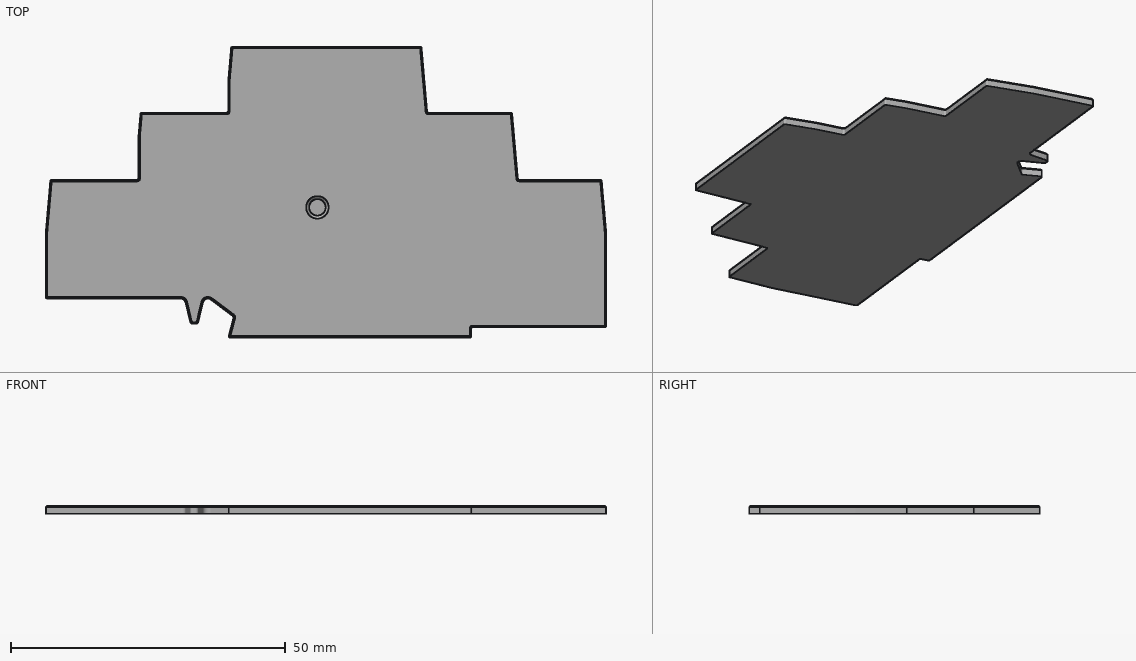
import cadquery as cq
import math

LENGTH = 101.94
WIDTH = 52.9
THICKNESS = 1.5
EDGE_CHAMFER = 0.3
CORNER_RADIUS = 0.3

BOTTOM_RIGHT_Y = 1.9
BOTTOM_LEFT_Y = 7.1
LOWER_STEP_Y = 28.7
UPPER_STEP_Y = 40.9

FLANK_SLOPE = math.tan(math.radians(5))
LOWER_BEND_Y = 19.4
MIDDLE_BEND_Y = 36.7
UPPER_BEND_Y = 46.5
MIDDLE_LEFT = 16.85
MIDDLE_RIGHT = 85.9
UPPER_LEFT = 33.15
UPPER_RIGHT = 69.4

FOOT_LEFT = 33.2
FOOT_RIGHT = 77.4
FOOT_NOTCH_X = 34.2
FOOT_NOTCH_Y = 3.8

PRONG_X = 27.0
PRONG_TIP_Y = 2.5
PRONG_TIP_HALF_WIDTH = 0.65
PRONG_ROOT_HALF_WIDTH = 1.75
RELIEF_RIGHT_X = 29.8
PRONG_ROOT_RADIUS = 0.9
PRONG_TIP_RADIUS = 0.5

RECESS_X = 49.4
RECESS_Y = 23.7
RECESS_TOP_DIAMETER = 4.1
RECESS_FLOOR_DIAMETER = 3.0
RECESS_DEPTH = 0.5


def lean(bottom_y, top_y):
    """Inward shift of a flank that leans from bottom_y up to top_y."""
    return (top_y - bottom_y) * FLANK_SLOPE


def left_flank(x, bottom_y, bend_y, top_y):
    """Left flank: vertical up to the bend, then leaning right."""
    return [(x, bottom_y), (x, bend_y), (x + lean(bend_y, top_y), top_y)]


LEFT_FLANKS = (
    left_flank(0, BOTTOM_LEFT_Y, LOWER_BEND_Y, LOWER_STEP_Y)
    + left_flank(MIDDLE_LEFT, LOWER_STEP_Y, MIDDLE_BEND_Y, UPPER_STEP_Y)
    + left_flank(UPPER_LEFT, UPPER_STEP_Y, UPPER_BEND_Y, WIDTH)
)
RIGHT_FLANKS = [
    (UPPER_RIGHT - lean(UPPER_STEP_Y, WIDTH), WIDTH),
    (UPPER_RIGHT, UPPER_STEP_Y),
    (MIDDLE_RIGHT - lean(LOWER_STEP_Y, UPPER_STEP_Y), UPPER_STEP_Y),
    (MIDDLE_RIGHT, LOWER_STEP_Y),
    (LENGTH - lean(LOWER_BEND_Y, LOWER_STEP_Y), LOWER_STEP_Y),
    (LENGTH, LOWER_BEND_Y),
    (LENGTH, BOTTOM_RIGHT_Y),
]
FOOT = [
    (FOOT_RIGHT, BOTTOM_RIGHT_Y),
    (FOOT_RIGHT, 0),
    (FOOT_LEFT, 0),
    (FOOT_NOTCH_X, FOOT_NOTCH_Y),
]
PRONG_ROOTS = [
    (RELIEF_RIGHT_X, BOTTOM_LEFT_Y),
    (PRONG_X + PRONG_ROOT_HALF_WIDTH, BOTTOM_LEFT_Y),
    (PRONG_X - PRONG_ROOT_HALF_WIDTH, BOTTOM_LEFT_Y),
]
PRONG_TIP = [
    (PRONG_X + PRONG_TIP_HALF_WIDTH, PRONG_TIP_Y),
    (PRONG_X - PRONG_TIP_HALF_WIDTH, PRONG_TIP_Y),
]
OUTLINE = LEFT_FLANKS + RIGHT_FLANKS + FOOT + PRONG_ROOTS[:2] + PRONG_TIP + PRONG_ROOTS[2:]

BENDS_Y = (LOWER_BEND_Y, MIDDLE_BEND_Y, UPPER_BEND_Y)
ROUNDED_CORNERS = [(x, y) for x, y in LEFT_FLANKS + RIGHT_FLANKS + FOOT if y not in BENDS_Y]


def round_corners(plate, corners, radius):
    """Round the upright edges of the plate that stand at the given corners."""
    for x, y in corners:
        corner = cq.NearestToPointSelector((x, y, THICKNESS / 2))
        plate = plate.edges("|Z").edges(corner).fillet(radius)
    return plate


def make_plate():
    """Flat plate with rounded corners and a chamfered top rim."""
    plate = cq.Workplane("XY").polyline(OUTLINE).close().extrude(THICKNESS)
    plate = round_corners(plate, PRONG_ROOTS, PRONG_ROOT_RADIUS)
    plate = round_corners(plate, PRONG_TIP, PRONG_TIP_RADIUS)
    plate = round_corners(plate, ROUNDED_CORNERS, CORNER_RADIUS)
    return plate.faces(">Z").edges().chamfer(EDGE_CHAMFER)


def make_recess():
    """Cone frustum that opens upwards to the top face."""
    return (
        cq.Workplane("XY", origin=(RECESS_X, RECESS_Y, THICKNESS - RECESS_DEPTH))
        .circle(RECESS_FLOOR_DIAMETER / 2)
        .workplane(offset=RECESS_DEPTH)
        .circle(RECESS_TOP_DIAMETER / 2)
        .loft()
    )


result = make_plate().cut(make_recess())